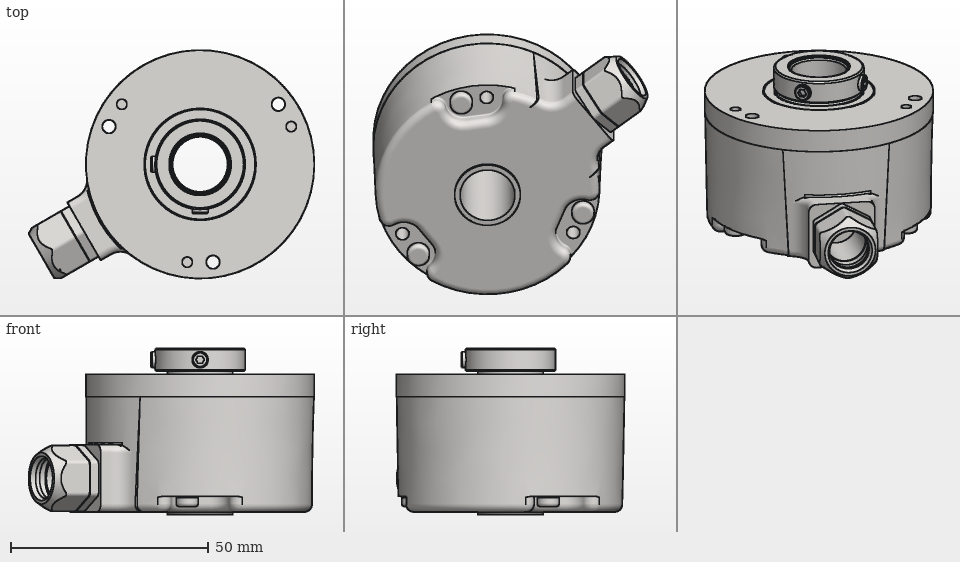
import cadquery as cq
import math

BODY_R = 29.0
WALL_R = 28.9
FOOT_R = 28.4
BODY_Z0 = 0.65
FLANGE_Z0 = 29.95
FLANGE_Z1 = 35.7
TOTAL_H = 42.3
EDGE_R = 2.0

SHAFT_R = 8.35
BORE_R = 6.95
COLLAR_R = 11.45
COLLAR_Z0 = 36.3
COLLAR_CHAMFER = 0.4
MOUTH_R = 7.7
MOUTH_CHAMFER = 0.2
SHAFT_TOP = 41.8
SHAFT_CHAMFER = 0.4
RING_OUTER_RADII = (11.4, 14.2)
RING_W = 0.3
RING_DEPTH = 0.35

SET_R = 2.0
SET_REACH = 12.5
SET_CHAMFER = 0.3
SET_START = 9.4
SOCKET_FLATS = 1.9
SOCKET_DEPTH = 1.15

PAIR_ANGLES = (30, 150, 270)
HOLE_CIRCLE_R = 25.0
HOLE_HALF_ANGLE = 7.5
THROUGH_R = 1.7
TAPPED_R = 1.3

RECESS_Z1 = 4.65
RECESS_HALF_W = 10.7
RECESS_HALF_PITCH = 2.7
RECESS_INNER_R = 4.7
CEILING_R = 0.35
HEAD_R = 2.8
HEAD_Z0 = 2.0
HEAD_Z1 = 4.3
HEAD_ROUND = 0.9

CABLE_ANGLE = 210
SECTOR_HALF_W_TOP = 13.7
SECTOR_HALF_W_FOOT = 12.25
BOSS_FACE = 34.0
BOSS_HALF_W = 8.5
BOSS_Z1 = 17.8
BOSS_FLARE_R = 4.8
BOSS_ROUND = 1.95
BOSS_BLEND_R = 0.4
BOSS_ROOT_R = 21.75

GLAND_Z = (BODY_Z0 + BOSS_Z1) / 2
GLAND_END = 46.5
GLAND_FLATS = 14.8
GLAND_CORNER_R = 1.15
RIM_R = 6.5
CONE_R = 8.4
CONE_LEN = 3.2
SPLIT_AT = 36.5
SPLIT_W = 0.15
SPLIT_DEPTH = 0.1
GLAND_HOLE_R = 5.2
GLAND_INNER_R = 5.1
GLAND_MOUTH_R = 5.65
GLAND_GROOVE_R = 5.95
GLAND_DEPTHS = (1.2, 2.4, 4.5, 7.0, 20.3)


def disc(radius, z0, z1):
    return cq.Workplane("XY").workplane(offset=z0).circle(radius).extrude(z1 - z0)


def turned(solid, angle):
    """Turn a solid about the shaft axis."""
    return solid.rotate((0, 0, 0), (0, 0, 1), angle)


def hexagon(flats, x0, x1):
    """Hexagonal bar along X on the gland axis, with corners at top and bottom."""
    corner_d = flats / math.cos(math.pi / 6)
    plane = cq.Workplane("YZ", origin=(x0, 0, GLAND_Z)).transformed(rotate=(0, 0, 90))
    return plane.polygon(6, corner_d).extrude(x1 - x0)


def about_gland_axis(points):
    """Revolve (distance along X, radius) points about the gland axis."""
    profile = cq.Workplane("XZ", origin=(0, 0, GLAND_Z)).polyline(points).close()
    return profile.revolve(360, (0, 0, 0), (1, 0, 0))


def recess():
    """Rim recess on +X: round-ended pocket around a hole pair, with lips curving out to the rim."""
    centre_x = HOLE_CIRCLE_R * math.cos(math.radians(HOLE_HALF_ANGLE))
    mouth_a = math.asin(RECESS_HALF_W / FOOT_R)
    mouth = (FOOT_R * math.cos(mouth_a), RECESS_HALF_W)

    dx = mouth[0] - centre_x
    dy = mouth[1] - RECESS_HALF_PITCH
    along = dx * math.cos(mouth_a) + dy * math.sin(mouth_a)
    lip_r = (dx**2 + dy**2 - RECESS_INNER_R**2) / (2 * (RECESS_INNER_R + along))
    lip_x = mouth[0] - lip_r * math.cos(mouth_a)
    lip_y = mouth[1] - lip_r * math.sin(mouth_a)

    join_a = math.atan2(lip_y - RECESS_HALF_PITCH, lip_x - centre_x)
    lip_a = (mouth_a + join_a - math.pi) / 2
    inner_a = (join_a + math.pi) / 2

    def on_end(angle):
        return (centre_x + RECESS_INNER_R * math.cos(angle),
                RECESS_HALF_PITCH + RECESS_INNER_R * math.sin(angle))

    lip_mid = (lip_x + lip_r * math.cos(lip_a), lip_y + lip_r * math.sin(lip_a))

    def mirrored(point):
        return (point[0], -point[1])

    outside = BODY_R + EDGE_R
    join, inner_mid, back = on_end(join_a), on_end(inner_a), on_end(math.pi)
    outline = (
        cq.Workplane("XY").workplane(offset=BODY_Z0)
        .moveTo(outside, RECESS_HALF_W)
        .lineTo(*mouth)
        .threePointArc(lip_mid, join)
        .threePointArc(inner_mid, back)
        .lineTo(*mirrored(back))
        .threePointArc(mirrored(inner_mid), mirrored(join))
        .threePointArc(mirrored(lip_mid), mirrored(mouth))
        .lineTo(outside, -RECESS_HALF_W)
        .close()
    )
    pocket = outline.extrude(RECESS_Z1 - BODY_Z0)
    walls = cq.selectors.BoxSelector((0, -FOOT_R, BODY_Z0), (mouth[0], FOOT_R, TOTAL_H))
    return pocket.faces(">Z").edges(walls).fillet(CEILING_R)


def housing():
    """Round-edged foot and drafted wall, both recessed, below the plain flange."""
    foot = disc(FOOT_R, BODY_Z0, RECESS_Z1)
    draft_z0 = BODY_Z0 + EDGE_R
    wall = cq.Workplane("XY").workplane(offset=draft_z0).circle(FOOT_R)
    wall = wall.workplane(offset=FLANGE_Z0 - draft_z0).circle(WALL_R).loft()
    for angle in PAIR_ANGLES:
        cutter = turned(recess(), angle)
        foot = foot.cut(cutter)
        wall = wall.cut(cutter)
    foot = foot.faces("<Z").edges().fillet(EDGE_R)
    return wall.union(foot).union(disc(BODY_R, FLANGE_Z0, FLANGE_Z1))


def cable_sector():
    """Undrafted part of the wall on +X, narrowing towards the foot."""
    wall = disc(WALL_R, BODY_Z0, FLANGE_Z0).faces("<Z").edges().fillet(EDGE_R)
    window = cq.Workplane("YZ").polyline([
        (-SECTOR_HALF_W_FOOT, BODY_Z0), (SECTOR_HALF_W_FOOT, BODY_Z0),
        (SECTOR_HALF_W_TOP, FLANGE_Z0), (-SECTOR_HALF_W_TOP, FLANGE_Z0),
    ]).close().extrude(BODY_R)
    return wall.intersect(window)


def boss():
    """Square boss on +X whose sides flare tangentially into the wall."""
    centre_r = WALL_R + BOSS_FLARE_R
    centre_y = BOSS_HALF_W + BOSS_FLARE_R
    centre_a = math.asin(centre_y / centre_r)
    centre_x = centre_r * math.cos(centre_a)
    foot = (WALL_R * math.cos(centre_a), WALL_R * math.sin(centre_a))
    root = (BOSS_ROOT_R * math.cos(centre_a), BOSS_ROOT_R * math.sin(centre_a))
    mid_a = (centre_a + 2.5 * math.pi) / 2
    mid = (centre_x + BOSS_FLARE_R * math.cos(mid_a), centre_y + BOSS_FLARE_R * math.sin(mid_a))
    block = (
        cq.Workplane("XY").workplane(offset=BODY_Z0)
        .moveTo(*root)
        .lineTo(*foot)
        .threePointArc(mid, (centre_x, BOSS_HALF_W))
        .lineTo(BOSS_FACE, BOSS_HALF_W)
        .lineTo(BOSS_FACE, -BOSS_HALF_W)
        .lineTo(centre_x, -BOSS_HALF_W)
        .threePointArc((mid[0], -mid[1]), (foot[0], -foot[1]))
        .lineTo(root[0], -root[1])
        .close()
        .extrude(BOSS_Z1 - BODY_Z0)
    )
    sides = cq.selectors.BoxSelector(
        (foot[0], -BODY_R, 0), (BOSS_FACE - BOSS_BLEND_R, BODY_R, TOTAL_H)
    )
    block = block.faces(">Z").edges(sides).fillet(BOSS_ROUND)
    return block.faces("<Z").edges(sides).fillet(EDGE_R)


def boss_blend():
    """Concave fillet strip where the flat top of the boss meets the wall."""
    x0, x1 = WALL_R - BOSS_BLEND_R, WALL_R + BOSS_BLEND_R
    z0, z1 = BOSS_Z1 - BOSS_BLEND_R, BOSS_Z1 + BOSS_BLEND_R
    inset = BOSS_BLEND_R * (1 - math.sqrt(0.5))
    profile = (
        cq.Workplane("XZ")
        .moveTo(x0, z0)
        .lineTo(x1, z0)
        .lineTo(x1, BOSS_Z1)
        .threePointArc((WALL_R + inset, BOSS_Z1 + inset), (WALL_R, z1))
        .lineTo(x0, z1)
        .close()
    )
    ring = profile.revolve(360, (0, 0, 0), (0, 1, 0))
    return ring.intersect(cq.Workplane("YZ").rect(2 * BOSS_HALF_W, 2 * TOTAL_H).extrude(BOSS_FACE))


def gland():
    bar = hexagon(GLAND_FLATS, BOSS_FACE, GLAND_END).edges("|X").fillet(GLAND_CORNER_R)
    cone = about_gland_axis([
        (BOSS_FACE, 0), (BOSS_FACE, CONE_R), (GLAND_END - CONE_LEN, CONE_R),
        (GLAND_END, RIM_R), (GLAND_END, 0),
    ])
    split = hexagon(2 * GLAND_FLATS, SPLIT_AT, SPLIT_AT + SPLIT_W)
    core = hexagon(GLAND_FLATS - 2 * SPLIT_DEPTH, SPLIT_AT, SPLIT_AT + SPLIT_W)
    core = core.edges("|X").fillet(GLAND_CORNER_R)
    return bar.intersect(cone).cut(split.cut(core))


def gland_hole():
    taper, groove_start, groove_end, step, bottom = [GLAND_END - depth for depth in GLAND_DEPTHS]
    return about_gland_axis([
        (GLAND_END, 0), (GLAND_END, GLAND_MOUTH_R),
        (taper, GLAND_INNER_R), (groove_start, GLAND_INNER_R),
        (groove_start, GLAND_GROOVE_R), (groove_end, GLAND_GROOVE_R),
        (groove_end, GLAND_HOLE_R), (step, GLAND_HOLE_R),
        (step, GLAND_INNER_R), (bottom, GLAND_INNER_R), (bottom, 0),
    ])


def collar():
    ring = disc(COLLAR_R, COLLAR_Z0, TOTAL_H).faces("<Z or >Z").edges().chamfer(COLLAR_CHAMFER)
    middle_z = (COLLAR_Z0 + TOTAL_H) / 2
    for angle in (180, 270):
        start = cq.Workplane("YZ", origin=(SET_START, 0, middle_z))
        screw = start.circle(SET_R).extrude(SET_REACH - SET_START)
        screw = screw.faces(">X").chamfer(SET_CHAMFER)
        socket = cq.Workplane("YZ", origin=(SET_REACH, 0, middle_z))
        socket = socket.polygon(6, SOCKET_FLATS / math.cos(math.pi / 6)).extrude(-SOCKET_DEPTH)
        ring = ring.union(turned(screw, angle)).cut(turned(socket, angle))
    return ring


def shaft_bore():
    profile = cq.Workplane("XZ").polyline([
        (0, 0), (BORE_R, 0), (BORE_R, SHAFT_TOP - SHAFT_CHAMFER),
        (BORE_R + SHAFT_CHAMFER, SHAFT_TOP), (MOUTH_R, SHAFT_TOP),
        (MOUTH_R, TOTAL_H - MOUTH_CHAMFER), (MOUTH_R + MOUTH_CHAMFER, TOTAL_H), (0, TOTAL_H),
    ]).close()
    return profile.revolve(360, (0, 0, 0), (0, 1, 0))


def screw_head():
    head = disc(HEAD_R, HEAD_Z0, HEAD_Z1).faces("<Z").edges().fillet(HEAD_ROUND)
    return head.union(disc(TAPPED_R, HEAD_Z1, RECESS_Z1))


def on_hole_circle(solid, angle):
    return turned(solid.translate((HOLE_CIRCLE_R, 0, 0)), angle)


result = housing()
for feature in (cable_sector(), boss(), boss_blend(), gland()):
    result = result.union(turned(feature, CABLE_ANGLE))
result = result.cut(turned(gland_hole(), CABLE_ANGLE))

for pair_angle in PAIR_ANGLES:
    tapped_angle = pair_angle - HOLE_HALF_ANGLE
    through_angle = pair_angle + HOLE_HALF_ANGLE
    result = result.union(on_hole_circle(screw_head(), tapped_angle))
    result = result.cut(on_hole_circle(disc(TAPPED_R, FLANGE_Z0, FLANGE_Z1), tapped_angle))
    result = result.cut(on_hole_circle(disc(THROUGH_R, 0, FLANGE_Z1), through_angle))

for ring_r in RING_OUTER_RADII:
    groove = disc(ring_r, FLANGE_Z1 - RING_DEPTH, FLANGE_Z1)
    result = result.cut(groove.cut(disc(ring_r - RING_W, FLANGE_Z1 - RING_DEPTH, FLANGE_Z1)))
result = result.union(disc(SHAFT_R, 0, COLLAR_Z0)).union(collar()).cut(shaft_bore())